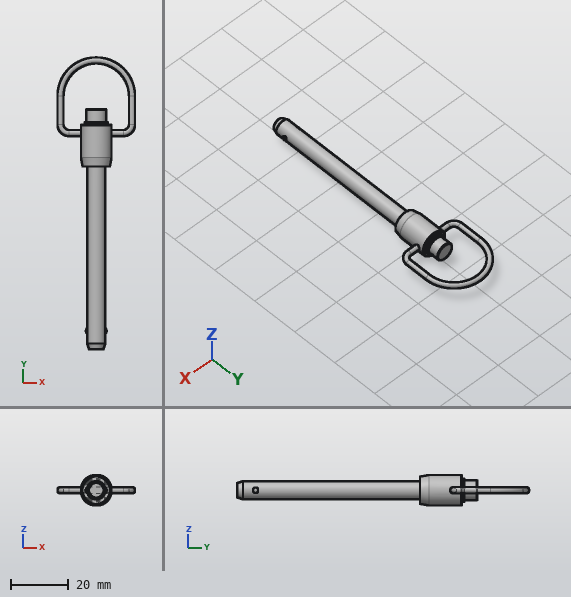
import cadquery as cq

length = 101.1
tip_y = -length / 2
ring_top_y = length / 2

shank_diameter = 6.4
shank_radius = shank_diameter / 2
tip_radius = 2.5
tip_taper = 2.0
ball_radius = 1.1
ball_from_tip = 6.4
ball_offset = 2.5

body_radius = 5.4
body_end_radius = 4.8
body_top_y = ring_top_y - 23.2
taper_start_y = ring_top_y - 34.8
body_end_y = ring_top_y - 37.9
body_chamfer = 0.3
collar_radius = 4.1
collar_height = 0.9
collar_chamfer = 0.3
button_radius = 3.5
button_top_y = ring_top_y - 18.0
button_chamfer = 0.2

ring_width = 27.0
wire_diameter = 2.2
corner_radius = 3.0
crossbar_y = ring_top_y - 26.3
bow_radius = (ring_width - wire_diameter) / 2
bow_center_y = ring_top_y - ring_width / 2


def cylinder_along_y(radius, start_y, end_y):
    """Cylinder on the Y axis from start_y up to end_y."""
    plane = cq.Plane(origin=(0, start_y, 0), xDir=(1, 0, 0), normal=(0, 1, 0))
    return cq.Workplane(plane).circle(radius).extrude(end_y - start_y)


def make_shank():
    """Revolved shank, ending inside the handle body."""
    return (
        cq.Workplane("XY")
        .moveTo(0, tip_y)
        .lineTo(tip_radius, tip_y)
        .lineTo(shank_radius, tip_y + tip_taper)
        .lineTo(shank_radius, body_top_y)
        .lineTo(0, body_top_y)
        .close()
        .revolve(360, (0, 0, 0), (0, 1, 0))
    )


def make_body():
    """Revolved handle body, tapered towards the shank."""
    return (
        cq.Workplane("XY")
        .moveTo(0, body_end_y)
        .lineTo(body_end_radius, body_end_y)
        .lineTo(body_radius, taper_start_y)
        .lineTo(body_radius, body_top_y - body_chamfer)
        .lineTo(body_radius - body_chamfer, body_top_y)
        .lineTo(0, body_top_y)
        .close()
        .revolve(360, (0, 0, 0), (0, 1, 0))
    )


def make_collar_and_button():
    """Stepped push button rising from the handle body."""
    collar_top_y = body_top_y + collar_height
    collar = cylinder_along_y(collar_radius, taper_start_y, collar_top_y)
    collar = collar.faces(">Y").chamfer(collar_chamfer)
    button = cylinder_along_y(button_radius, taper_start_y, button_top_y)
    button = button.faces(">Y").chamfer(button_chamfer)
    return collar.union(button)


def make_ring():
    """D-shaped ring whose crossbar runs through the handle body."""
    corner_x = bow_radius - corner_radius
    corner_y = crossbar_y + corner_radius
    path = (
        cq.Workplane("XY")
        .moveTo(0, crossbar_y)
        .lineTo(corner_x, crossbar_y)
        .tangentArcPoint((bow_radius, corner_y), relative=False)
        .lineTo(bow_radius, bow_center_y)
        .threePointArc((0, bow_center_y + bow_radius), (-bow_radius, bow_center_y))
        .lineTo(-bow_radius, corner_y)
        .tangentArcPoint((-corner_x, crossbar_y), relative=False)
        .close()
    )
    section = cq.Workplane("YZ").center(crossbar_y, 0).circle(wire_diameter / 2)
    return section.sweep(path)


result = make_shank().union(make_body()).union(make_collar_and_button()).union(make_ring())

for side in (-1, 1):
    ball = cq.Workplane("XY").sphere(ball_radius)
    ball = ball.translate((side * ball_offset, tip_y + ball_from_tip, 0))
    result = result.union(ball)